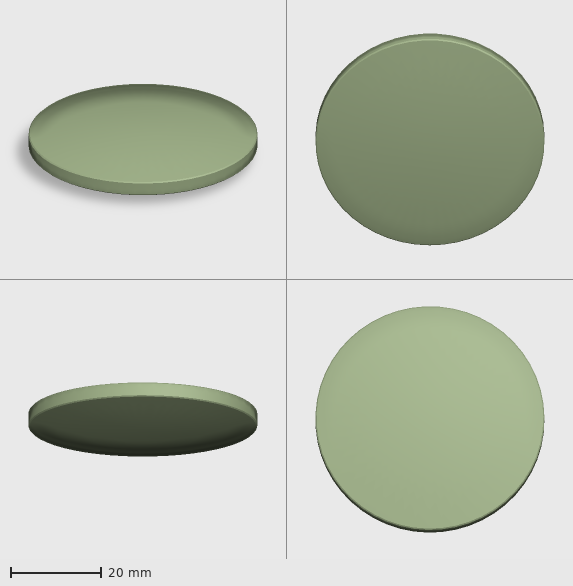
import cadquery as cq

diameter = 50.8
center_thickness = 7.8
band_height = 2.75
bevel = 0.25

radius = diameter / 2
face_radius = radius - bevel
rim_z = band_height / 2 + bevel
apex_z = center_thickness / 2
sag = apex_z - rim_z
sphere_radius = (face_radius**2 + sag**2) / (2 * sag)

mid_r = face_radius / 2
mid_z = apex_z - sphere_radius + (sphere_radius**2 - mid_r**2) ** 0.5

half_section = (
    cq.Workplane("XZ")
    .moveTo(0, -apex_z)
    .threePointArc((mid_r, -mid_z), (face_radius, -rim_z))
    .lineTo(radius, -band_height / 2)
    .lineTo(radius, band_height / 2)
    .lineTo(face_radius, rim_z)
    .threePointArc((mid_r, mid_z), (0, apex_z))
    .close()
)

result = half_section.revolve(360, (0, 0, 0), (0, 1, 0))